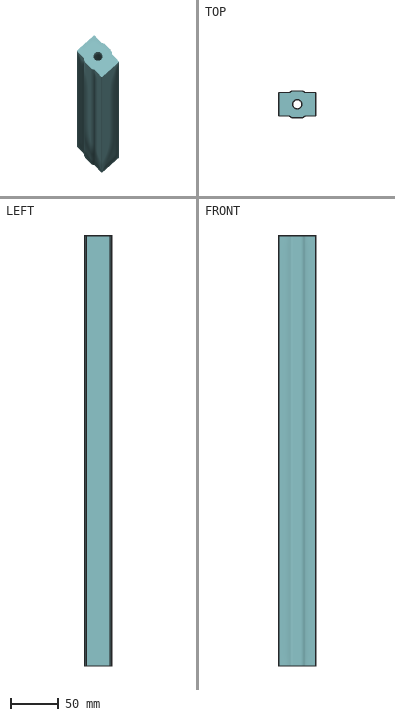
import cadquery as cq

length = 457.0
width = 39.5
depth = 29.0
corner_radius = 1.0

band_height = 2.0
band_top_width = 12.5
band_base_width = 16.0
band_crest_radius = 4.5
band_foot_radius = 2.5

bore_diameter = 9.5

half_depth = depth / 2
side_half_depth = half_depth - band_height


def round_edges(body, half_x, half_y, radius):
    """Round the four lengthwise edges at (+-half_x, +-half_y)."""
    midpoints = [(sx * half_x, sy * half_y, length / 2) for sx in (1, -1) for sy in (1, -1)]
    for point in midpoints:
        edge = cq.selectors.NearestToPointSelector(point)
        body = body.edges("|Z").edges(edge).fillet(radius)
    return body


quarter_outline = [
    (band_top_width / 2, half_depth),
    (band_base_width / 2, side_half_depth),
    (width / 2, side_half_depth),
]
right_half = quarter_outline + [(x, -y) for x, y in reversed(quarter_outline)]
left_half = [(-x, -y) for x, y in right_half]

bar = cq.Workplane("XY").polyline(right_half + left_half).close().extrude(length)

bar = round_edges(bar, band_top_width / 2, half_depth, band_crest_radius)
bar = round_edges(bar, band_base_width / 2, side_half_depth, band_foot_radius)
bar = round_edges(bar, width / 2, side_half_depth, corner_radius)

result = bar.faces(">Z").workplane(origin=(0, 0, length)).hole(bore_diameter)